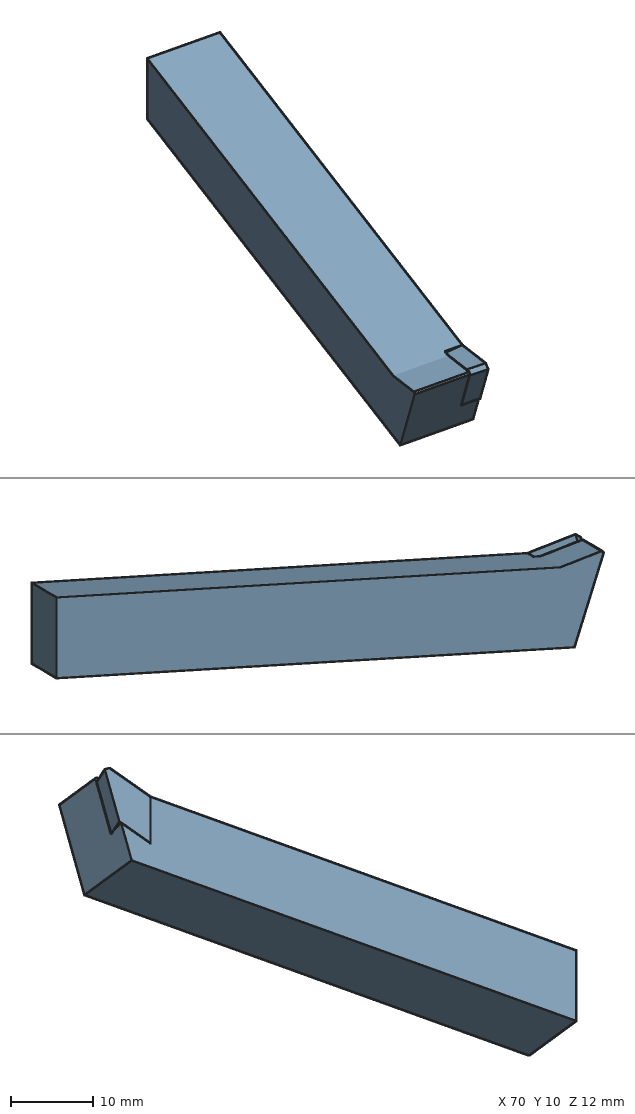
import cadquery as cq
import math

total_length = 70.0
shank_size = 10.0
bottom_length = 66.0

ramp_start = 64.2
rake_angle = math.radians(18)
relief_angle = math.radians(18)
rake_slope = math.tan(rake_angle)
relief_slope = math.tan(relief_angle)
nose_top_x = 69.5

insert_width = 2.4
insert_back_x = 63.2
insert_top_x = 69.3
insert_tip_z = 11.55
insert_front_bottom_z = 4.9
front_setback = 0.5
side_drop = 0.3
pocket_clearance = 3.5


def make_holder_blank():
    nose_top_z = shank_size + (nose_top_x - ramp_start) * rake_slope
    end_gap = bottom_length + nose_top_z * relief_slope - nose_top_x
    land_run = end_gap / (1 + relief_slope)
    outline = [
        (0, 0),
        (bottom_length, 0),
        (nose_top_x + land_run, nose_top_z - land_run),
        (nose_top_x, nose_top_z),
        (ramp_start, shank_size),
        (0, shank_size),
    ]
    return cq.Workplane("XZ").polyline(outline).close().extrude(-shank_size)


def insert_outline(setback, drop):
    """Insert section, with its front end drawn back along the rake face and all of it lowered."""
    front_bottom_x = total_length - (insert_tip_z - insert_front_bottom_z) * relief_slope
    rake_rise = (insert_top_x - insert_back_x) * rake_slope
    underside_rise = (front_bottom_x - insert_back_x) * rake_slope
    front_drop = drop + setback * rake_slope
    return [
        (insert_back_x, shank_size - drop),
        (insert_top_x - setback, shank_size + rake_rise - front_drop),
        (total_length - setback, insert_tip_z - front_drop),
        (front_bottom_x - setback, insert_front_bottom_z - front_drop),
        (insert_back_x, insert_front_bottom_z - underside_rise - drop),
    ]


def pocket_outline(drop):
    """Seat section, open above the insert and past the end of the holder."""
    open_z = shank_size + pocket_clearance
    open_x = total_length + pocket_clearance
    seat_back_x, seat_back_z = insert_outline(0, drop)[-1]
    seat_front_z = seat_back_z + (open_x - seat_back_x) * rake_slope
    return [
        (seat_back_x, seat_back_z),
        (open_x, seat_front_z),
        (open_x, open_z),
        (seat_back_x, open_z),
    ]


def loft_across_insert(outer_outline, inner_outline):
    """Solid between a section on the shank's +Y side and one an insert width inward."""
    return (
        cq.Workplane("XZ", origin=(0, shank_size, 0))
        .polyline(outer_outline).close()
        .workplane(offset=insert_width)
        .polyline(inner_outline).close()
        .loft(ruled=True)
    )


insert = loft_across_insert(insert_outline(0, 0), insert_outline(front_setback, side_drop))
pocket = loft_across_insert(pocket_outline(0), pocket_outline(side_drop))
holder = make_holder_blank().cut(pocket)

result = cq.Compound.makeCompound([holder.solids().val(), insert.val()])